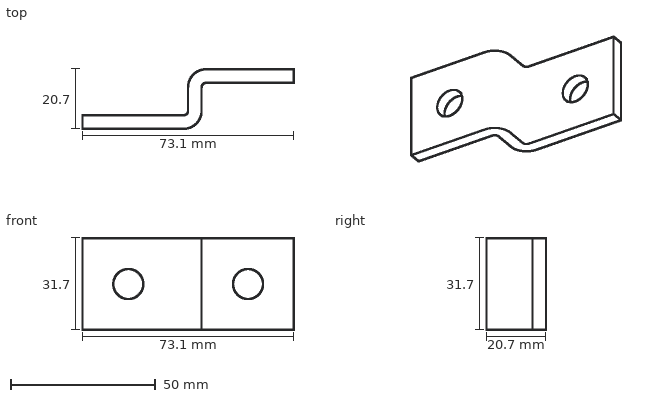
import cadquery as cq

length = 73.1
offset_depth = 20.7
height = 31.7

thickness = 4.75
inner_radius = 1.5
outer_radius = inner_radius + thickness
web_right = 41.2
web_left = web_right - thickness

hole_diameter = 10.3
hole_edge_distance = height / 2

profile = (
    cq.Workplane("XY")
    .polyline([
        (0, 0),
        (web_right, 0),
        (web_right, offset_depth - thickness),
        (length, offset_depth - thickness),
        (length, offset_depth),
        (web_left, offset_depth),
        (web_left, thickness),
        (0, thickness),
    ])
    .close()
)
strap = profile.extrude(height)


def round_bend(body, x, y, radius):
    """Round the vertical edge of the strap that passes through (x, y)."""
    edge = cq.selectors.NearestToPointSelector((x, y, height / 2))
    return body.edges("|Z").edges(edge).fillet(radius)


strap = round_bend(strap, web_right, 0, outer_radius)
strap = round_bend(strap, web_left, thickness, inner_radius)
strap = round_bend(strap, web_right, offset_depth - thickness, inner_radius)
strap = round_bend(strap, web_left, offset_depth, outer_radius)

hole_positions = [(x, height / 2) for x in (hole_edge_distance, length - hole_edge_distance)]
holes = (
    cq.Workplane("XZ")
    .pushPoints(hole_positions)
    .circle(hole_diameter / 2)
    .extrude(-offset_depth)
)

result = strap.cut(holes)